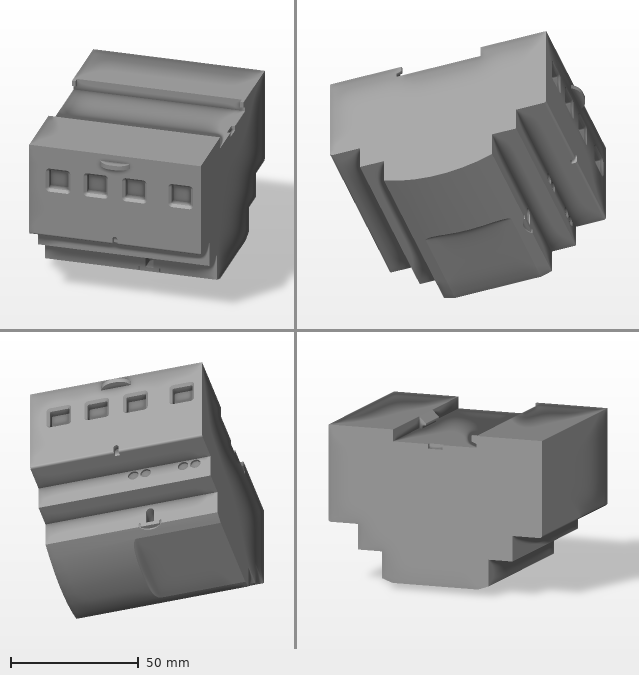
import cadquery as cq
import math


width = 70.0
length = 89.9
shoulder_depth = 38.8
step_depth = 49.1
nose_edge_depth = 59.8
nose_depth = 63.9
step_inset = 12.45
nose_inset = 22.5
shoulder_edge_radius = 0.9

channel_depth = 4.7
channel_from_front = 27.2
channel_from_back = 27.6

hook_width = 1.4
hook_reach = 2.1
hook_tip_height = 2.3
hook_root_height = 3.2

clip_width = 14.0
clip_tip_reach = 2.7
clip_tip_depth = clip_tip_reach
clip_under_depth = 3.5
clip_foot_reach = 1.4

floor_notch_length = 6.1
floor_notch_width = 1.4
floor_notch_depth = 1.9

tab_width = 12.3
tab_flat = 1.95
tab_reach = 3.1
tab_top_depth = 3.1
tab_thickness = 1.9

window_centers = (-23.2, -7.8, 7.9, 26.8)
window_size = 8.0
window_center_depth = 14.3
window_pocket_depth = 3.9
window_corner_radius = 0.6
window_chamfer = 1.0
window_bevel_angle = 45

edge_slot_width = 1.95
edge_slot_top_depth = 35.4
edge_slot_depth = 2.3

pair_centers = (6.0, 26.3)
pair_spacing = 5.0
hole_diameter = 4.2
hole_center_depth = 41.4
hole_depth = 0.9

relief_left = -1.9
relief_plane_depth = 61.3

scoop_center = 7.5
scoop_width = 3.25
scoop_radius = 7.2
scoop_rim_rise = 2.0
scoop_bottom_depth = 58.1

recess_chord = 9.3
recess_sag = 1.9
recess_top_depth = 58.0
slit_width = 0.8

half_width = width / 2
half_length = length / 2
front_y = -half_length
step_front_y = front_y + step_inset
nose_front_y = front_y + nose_inset
channel_front_y = front_y + channel_from_front
channel_back_y = half_length - channel_from_back


def box(x_min, x_max, y_min, y_max, z_min, z_max):
    """Axis-aligned box between two corners."""
    return cq.Workplane("XY").box(
        x_max - x_min, y_max - y_min, z_max - z_min, centered=False
    ).translate((x_min, y_min, z_min))


def side_prism(points, x_min, x_max):
    """Prism along X from a closed outline of (y, z) points."""
    return cq.Workplane("YZ", origin=(x_min, 0, 0)).polyline(points).close().extrude(x_max - x_min)


def front_plane(y, x=0, z=0):
    """Sketch plane facing -Y; extruding by a negative length goes into the part."""
    return cq.Workplane("XZ", origin=(x, y, z))


def make_housing():
    step_y = half_length - step_inset
    nose_y = half_length - nose_inset
    body = (
        cq.Workplane("YZ", origin=(-half_width, 0, 0))
        .moveTo(-half_length, 0)
        .lineTo(-half_length, -shoulder_depth)
        .lineTo(-step_y, -shoulder_depth)
        .lineTo(-step_y, -step_depth)
        .lineTo(-nose_y, -step_depth)
        .lineTo(-nose_y, -nose_edge_depth)
        .threePointArc((0, -nose_depth), (nose_y, -nose_edge_depth))
        .lineTo(nose_y, -step_depth)
        .lineTo(step_y, -step_depth)
        .lineTo(step_y, -shoulder_depth)
        .lineTo(half_length, -shoulder_depth)
        .lineTo(half_length, 0)
        .close()
        .extrude(width)
    )
    for y in (-half_length, half_length):
        edge = cq.selectors.NearestToPointSelector((0, y, -shoulder_depth))
        body = body.edges(edge).fillet(shoulder_edge_radius)
    return body


def make_channel():
    return box(-half_width, half_width, channel_front_y, channel_back_y, -channel_depth, 0)


def make_hooks():
    outline = [
        (channel_back_y, 0),
        (channel_back_y - hook_reach, 0),
        (channel_back_y - hook_reach, -hook_tip_height),
        (channel_back_y, -hook_root_height),
    ]
    left = side_prism(outline, -half_width, -half_width + hook_width)
    right = side_prism(outline, half_width - hook_width, half_width)
    return left.add(right).combine()


def make_clip():
    outline = [
        (channel_front_y, 0),
        (channel_front_y + clip_tip_reach, -clip_tip_depth),
        (channel_front_y + clip_tip_reach, -clip_under_depth),
        (channel_front_y + clip_foot_reach, -clip_under_depth),
        (channel_front_y + clip_foot_reach, -channel_depth),
        (channel_front_y, -channel_depth),
    ]
    return side_prism(outline, -clip_width / 2, clip_width / 2)


def make_floor_notch():
    return box(
        half_width - floor_notch_width, half_width,
        -floor_notch_length / 2, floor_notch_length / 2,
        -channel_depth - floor_notch_depth, -channel_depth,
    )


def make_pull_tab():
    half_tab = tab_width / 2
    half_flat = tab_flat / 2
    run = half_tab - half_flat
    end_radius = (run**2 + tab_reach**2) / (2 * tab_reach)
    tip_y = front_y - tab_reach
    return (
        cq.Workplane("XY", origin=(0, 0, -tab_top_depth))
        .moveTo(-half_tab, front_y)
        .radiusArc((-half_flat, tip_y), -end_radius)
        .lineTo(half_flat, tip_y)
        .radiusArc((half_tab, front_y), -end_radius)
        .close()
        .extrude(-tab_thickness)
    )


def rounded_square(size, corner_radius):
    return cq.Sketch().rect(size, size).vertices().fillet(corner_radius)


def make_window(center_x):
    """Straight pocket with a bevelled mouth whose corners widen into cones."""
    mouth = rounded_square(window_size + 2 * window_chamfer, window_corner_radius + window_chamfer)
    pocket = rounded_square(window_size, window_corner_radius)
    plane = front_plane(front_y, center_x, -window_center_depth)
    bevel = plane.placeSketch(mouth).extrude(-window_chamfer, taper=window_bevel_angle)
    return plane.placeSketch(pocket).extrude(-window_pocket_depth).union(bevel)


def make_edge_slot():
    radius = edge_slot_width / 2
    spring_z = -edge_slot_top_depth - radius
    return (
        front_plane(front_y)
        .moveTo(-radius, -shoulder_depth)
        .lineTo(-radius, spring_z)
        .threePointArc((0, -edge_slot_top_depth), (radius, spring_z))
        .lineTo(radius, -shoulder_depth)
        .close()
        .extrude(-edge_slot_depth)
    )


def make_step_holes():
    centers = []
    for pair_x in pair_centers:
        for hole_x in (pair_x - pair_spacing / 2, pair_x + pair_spacing / 2):
            centers.append((hole_x, -hole_center_depth))
    return front_plane(step_front_y).pushPoints(centers).circle(hole_diameter / 2).extrude(-hole_depth)


def make_nose_relief():
    blend_radius = nose_depth - relief_plane_depth
    blend_center_x = relief_left + blend_radius
    blend_offset = blend_radius * math.sqrt(0.5)
    return (
        front_plane(nose_front_y)
        .moveTo(half_width, -nose_depth)
        .lineTo(half_width, -relief_plane_depth)
        .lineTo(blend_center_x, -relief_plane_depth)
        .threePointArc(
            (blend_center_x - blend_offset, -nose_depth + blend_offset),
            (relief_left, -nose_depth),
        )
        .close()
        .extrude(2 * nose_front_y)
    )


def make_scoop():
    half_scoop = scoop_width / 2
    side_height = scoop_radius - scoop_rim_rise
    flank_radius = (half_scoop**2 + scoop_rim_rise**2) / (2 * half_scoop)
    return (
        front_plane(nose_front_y, scoop_center, -scoop_bottom_depth)
        .moveTo(-half_scoop, 0)
        .lineTo(-half_scoop, side_height)
        .radiusArc((0, scoop_radius), flank_radius)
        .radiusArc((half_scoop, side_height), flank_radius)
        .lineTo(half_scoop, 0)
        .close()
        .revolve(90, (0, 0, 0), (-1, 0, 0))
    )


def make_finger_recess():
    recess = (
        cq.Workplane("XY", origin=(scoop_center, nose_front_y, -recess_top_depth))
        .moveTo(-recess_chord / 2, 0)
        .threePointArc((0, recess_sag), (recess_chord / 2, 0))
        .close()
        .extrude(recess_top_depth - nose_depth)
    )
    half_flap = recess_chord / 2 - slit_width
    flap = box(
        scoop_center - half_flap, scoop_center + half_flap,
        nose_front_y, nose_front_y + recess_sag,
        -nose_edge_depth, -recess_top_depth,
    )
    return recess.cut(flap)


result = make_housing().cut(make_channel())
result = result.union(make_hooks()).union(make_clip()).union(make_pull_tab())
for window_x in window_centers:
    result = result.cut(make_window(window_x))
for cutter in (
    make_floor_notch(),
    make_edge_slot(),
    make_step_holes(),
    make_nose_relief(),
    make_scoop(),
    make_finger_recess(),
):
    result = result.cut(cutter)